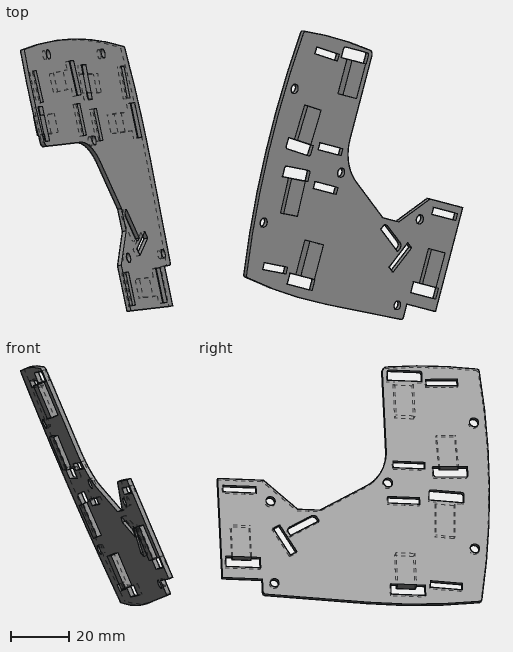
import cadquery as cq
import math

face_offset = 0.92
face_yaw = 12.75
face_tilt = 23.0
face_roll = 2.4

thickness = 1.5

upper_edge_x = -12.1
bend_radius = 15.8
bend_angle = 60.0
bend_start_y = 13.15
waist_y = -10.05
waist_left_x = 12.2
waist_right_x = 20.0

side_arm_left_x = 31.5
side_arm_right_x = 47.45
side_arm_top_y = 0.25
side_arm_bottom_y = -36.6
notch_x = 33.5

lower_right_y = -42.15
lower_straight_start = (-3.0, -43.68)
lower_middle = (-25.0, -43.45)
lower_left = (-42.95, -41.6)
left_middle = (-47.85, 12.0)
upper_left = (-45.95, 44.75)
top_middle = (-30.0, 45.3)
upper_right_y = 44.1

outer_corner_radius = 1.0
upper_right_radius = 1.8

wide_slot_length = 12.1
wide_slot_width = 3.8
wide_slot_corner_radius = 0.8
narrow_slot_length = 11.1
narrow_slot_width = 2.4
side_narrow_slot_length = 11.6

pad_width = 6.6
pad_length = 12.3
low_pad_height = 1.6
high_pad_height = 2.6

pad_pitch = (pad_length + wide_slot_width) / 2
long_slot_pitch = 33.2
short_slot_pitch = 27.05

units = [
    ((-34.25, 6.1), 87.4, long_slot_pitch, narrow_slot_length, low_pad_height, True),
    ((-19.8, 41.25), -90.0, long_slot_pitch, narrow_slot_length, high_pad_height, True),
    ((-32.4, -3.05), -87.3, long_slot_pitch, narrow_slot_length, low_pad_height, True),
    ((-17.4, -38.4), 90.0, long_slot_pitch, narrow_slot_length, high_pad_height, False),
    ((39.95, -30.5), 90.0, short_slot_pitch, side_narrow_slot_length, low_pad_height, False),
]

hole_diameter = 3.2
small_hole_diameter = 3.0
hole_centres = [(-43.35, 24.9), (-12.15, 1.2), (-41.5, -22.05), (29.3, -7.4)]
small_hole_centre = (29.3, -37.8)

oblique_angle = -30.0
rounded_slot_centre = (18.5, -15.8)
rounded_slot_length = 11.9
rounded_slot_width = 2.8
rounded_slot_radius = 1.5
plain_slot_centre = (24.95, -21.7)
plain_slot_length = 11.2
plain_slot_width = 2.7


def make_plate():
    """Flat plate in its local frame, raised face at z = 0."""
    turn = math.radians(bend_angle)
    bend_centre_x = upper_edge_x + bend_radius

    def on_bend(angle):
        x = bend_centre_x - bend_radius * math.cos(angle)
        y = bend_start_y - bend_radius * math.sin(angle)
        return x, y

    plate = (
        cq.Workplane("XY")
        .moveTo(upper_edge_x, upper_right_y)
        .lineTo(upper_edge_x, bend_start_y)
        .threePointArc(on_bend(turn / 2), on_bend(turn))
        .lineTo(waist_left_x, waist_y)
        .lineTo(waist_right_x, waist_y)
        .lineTo(side_arm_left_x, side_arm_top_y)
        .lineTo(side_arm_right_x, side_arm_top_y)
        .lineTo(side_arm_right_x, side_arm_bottom_y)
        .lineTo(notch_x, side_arm_bottom_y)
        .lineTo(notch_x, lower_right_y)
        .lineTo(*lower_straight_start)
        .threePointArc(lower_middle, lower_left)
        .threePointArc(left_middle, upper_left)
        .threePointArc(top_middle, (upper_edge_x, upper_right_y))
        .close()
        .extrude(-thickness)
    )
    for x, y in [upper_left, lower_left, (notch_x, lower_right_y)]:
        plate = round_corner(plate, x, y, outer_corner_radius)
    return round_corner(plate, upper_edge_x, upper_right_y, upper_right_radius)


def round_corner(body, x, y, radius):
    """Fillet the edge through the thickness nearest to (x, y)."""
    corner = cq.selectors.NearestToPointSelector((x, y, -thickness / 2))
    return body.edges("|Z").edges(corner).fillet(radius)


def slot_cutter(length, width):
    """Rectangular cutter through the thickness, centred on the local origin."""
    return cq.Workplane("XY").rect(length, width).extrude(-thickness)


def place(body, centre, angle):
    return body.rotate((0, 0, 0), (0, 0, 1), angle).translate((*centre, 0))


def add_unit(plate, centre, direction, slot_pitch, narrow_length, pad_height, rounded):
    """Cut one pair of slots and raise the pad between them, next to the wide slot."""
    wide = slot_cutter(wide_slot_length, wide_slot_width)
    if rounded:
        wide = wide.edges("|Z and <Y").fillet(wide_slot_corner_radius)
    narrow = slot_cutter(narrow_length, narrow_slot_width).translate((0, slot_pitch, 0))
    pad = (
        cq.Workplane("XY", origin=(0, pad_pitch, -thickness))
        .rect(pad_width, pad_length)
        .extrude(thickness + pad_height)
    )
    angle = direction - 90.0
    for cutter in (wide, narrow):
        plate = plate.cut(place(cutter, centre, angle))
    return plate.union(place(pad, centre, angle))


def cut_holes(plate):
    holes = [(centre, hole_diameter) for centre in hole_centres]
    holes.append((small_hole_centre, small_hole_diameter))
    for (x, y), diameter in holes:
        drill = cq.Workplane("XY").center(x, y).circle(diameter / 2).extrude(-thickness)
        plate = plate.cut(drill)
    return plate


def cut_oblique_slots(plate):
    """Two slots at right angles to each other, the first with two rounded corners."""
    rounded = slot_cutter(rounded_slot_length, rounded_slot_width)
    rounded = rounded.edges("|Z and >Y").fillet(rounded_slot_radius)
    plain = slot_cutter(plain_slot_length, plain_slot_width)
    plate = plate.cut(place(rounded, rounded_slot_centre, oblique_angle))
    return plate.cut(place(plain, plain_slot_centre, oblique_angle + 90.0))


def plate_plane():
    """Plane of the raised face: normal from yaw and tilt, local x turned by the roll."""
    yaw = math.radians(face_yaw)
    tilt = math.radians(face_tilt)
    level = cq.Vector(math.sin(yaw), -math.cos(yaw), 0)
    normal = cq.Vector(
        -math.cos(yaw) * math.cos(tilt), -math.sin(yaw) * math.cos(tilt), -math.sin(tilt)
    )
    plane = cq.Plane(origin=(face_offset, 0, 0), xDir=level, normal=normal)
    return plane.rotated((0, 0, face_roll))


part = make_plate()
for unit in units:
    part = add_unit(part, *unit)
part = cut_holes(part)
part = cut_oblique_slots(part)

result = part.solids().val().moved(cq.Location(plate_plane()))